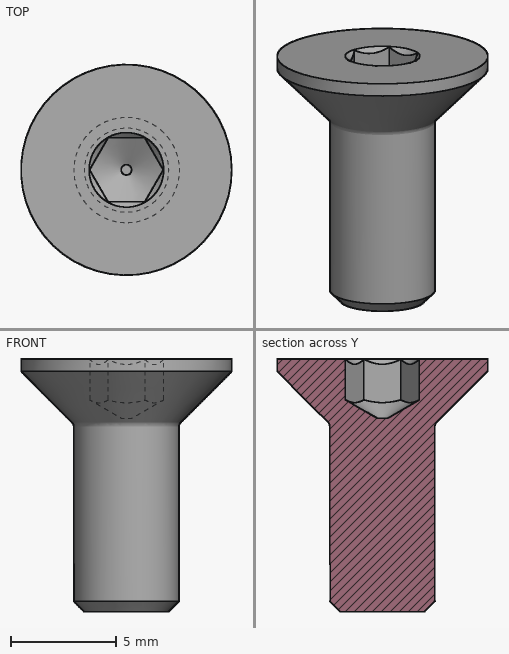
import cadquery as cq
import math

length = 12.0
head_diameter = length * 5 / 6
shank_diameter = head_diameter / 2
rim_height = 0.6
tip_chamfer = 0.5
neck_fillet = 0.24

socket_across_flats = 3.02
socket_mouth_diameter = 3.54
socket_wall_depth = 1.95
floor_slope = math.radians(30)
floor_flat_diameter = 0.49

head_radius = head_diameter / 2
shank_radius = shank_diameter / 2
socket_corner_diameter = socket_across_flats / math.cos(math.radians(30))


def make_body():
    """Revolve the screw; the underside of the head is a 45 degree cone."""
    rim_bottom = length - rim_height
    neck_height = rim_bottom - (head_radius - shank_radius)
    profile = (
        cq.Workplane("XZ")
        .moveTo(0, 0)
        .lineTo(shank_radius - tip_chamfer, 0)
        .lineTo(shank_radius, tip_chamfer)
        .lineTo(shank_radius, neck_height)
        .lineTo(head_radius, rim_bottom)
        .lineTo(head_radius, length)
        .lineTo(0, length)
        .close()
    )
    body = profile.revolve(360, (0, 0, 0), (0, 1, 0))
    neck_edge = cq.selectors.BoxSelector(
        (-head_radius, -head_radius, neck_height - neck_fillet),
        (head_radius, head_radius, neck_height + neck_fillet),
        boundingbox=True,
    )
    return body.edges(neck_edge).fillet(neck_fillet)


def make_socket():
    """Hexagonal hole with a truncated conical floor and a 45 degree lead-in."""
    corner_radius = socket_corner_diameter / 2
    mouth_radius = socket_mouth_diameter / 2
    flat_radius = floor_flat_diameter / 2
    wall_bottom = length - socket_wall_depth
    floor_height = wall_bottom - (corner_radius - flat_radius) * math.tan(floor_slope)

    hexagon = (
        cq.Workplane("XY", origin=(0, 0, floor_height))
        .polygon(6, socket_corner_diameter)
        .extrude(length - floor_height)
    )
    floor_envelope = (
        cq.Workplane("XZ")
        .moveTo(0, floor_height)
        .lineTo(flat_radius, floor_height)
        .lineTo(mouth_radius, wall_bottom + (mouth_radius - corner_radius) * math.tan(floor_slope))
        .lineTo(mouth_radius, length)
        .lineTo(0, length)
        .close()
        .revolve(360, (0, 0, 0), (0, 1, 0))
    )
    lead_in = (
        cq.Workplane("XZ")
        .moveTo(0, length)
        .lineTo(mouth_radius, length)
        .lineTo(0, length - mouth_radius)
        .close()
        .revolve(360, (0, 0, 0), (0, 1, 0))
    )
    return hexagon.intersect(floor_envelope).union(lead_in)


result = make_body().cut(make_socket())